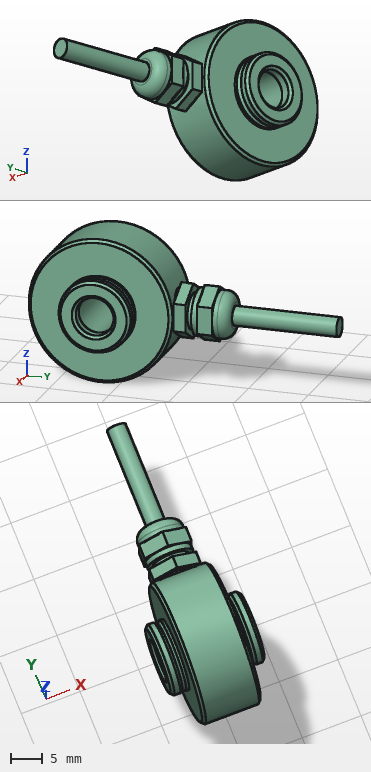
import cadquery as cq

housing_diameter = 24.0
housing_width = 10.0
hub_diameter = 12.0
hub_step = 1.0
bore_diameter = 6.3
edge_chamfer = 0.5

ring_width = 2.0

collar_diameter = 7.2
collar_depth = 1.0
collar_round = 0.5
hex_across_flats = 8.0
base_hex_length = 2.0
neck_diameter = 6.0
neck_length = 0.9
cap_diameter = 7.8
cap_length = 6.1
cap_round = 1.75
cap_hex_offset = 1.0
cap_hex_length = 2.5

cable_diameter = 3.2
cable_end = 38.39

hub_half_width = housing_width / 2 + hub_step
base_hex_start = housing_diameter / 2
collar_start = base_hex_start - collar_depth
neck_start = base_hex_start + base_hex_length
cap_start = neck_start + neck_length
cap_hex_start = cap_start + cap_hex_offset
cap_end = cap_start + cap_length


def disc_x(start, length, diameter):
    """Cylinder on the X axis, beginning at x = start."""
    return cq.Workplane("YZ", origin=(start, 0, 0)).circle(diameter / 2).extrude(length)


def gland_plane(start):
    """Plane across the gland axis at y = start, facing +Y."""
    plane = cq.Plane(origin=(0, start, 0), xDir=(1, 0, 0), normal=(0, 1, 0))
    return cq.Workplane(plane)


def disc_y(start, length, diameter):
    """Cylinder on the Y axis, beginning at y = start."""
    return gland_plane(start).circle(diameter / 2).extrude(length)


def hexagon_y(start, length):
    """Hexagonal prism on the Y axis with two corners on the Z direction."""
    return gland_plane(start).polygon(6, hex_across_flats, circumscribed=True).extrude(length)


def make_housing():
    """Chamfered rim with a hub on each face, a through bore and a pocket for the gland collar."""
    rim = disc_x(-housing_width / 2, housing_width, housing_diameter)
    rim = rim.edges("%CIRCLE").chamfer(edge_chamfer)
    hub = disc_x(-hub_half_width, 2 * hub_half_width, hub_diameter)
    hub = hub.edges("%CIRCLE").chamfer(edge_chamfer)
    collar_pocket = disc_y(collar_start, collar_depth, collar_diameter)
    bore = disc_x(-hub_half_width, 2 * hub_half_width, bore_diameter)
    return rim.union(hub).cut(bore).cut(collar_pocket)


def make_end_ring(side):
    """Ring against one hub end; its bore is chamfered at the outer face only."""
    ring = disc_x(hub_half_width, ring_width, hub_diameter)
    ring = ring.edges("%CIRCLE").chamfer(edge_chamfer)
    ring = ring.cut(disc_x(hub_half_width, ring_width, bore_diameter))
    ring = ring.faces(">X").edges(cq.selectors.RadiusNthSelector(0)).chamfer(edge_chamfer)
    return ring if side > 0 else ring.mirror("YZ")


def make_gland():
    """Collar, base hexagon, neck and rounded cap with its own hexagon."""
    collar = disc_y(collar_start, collar_depth, collar_diameter)
    collar = collar.faces(">Y").edges().fillet(collar_round)
    base_hex = hexagon_y(base_hex_start, base_hex_length)
    neck = disc_y(neck_start, neck_length, neck_diameter)
    cap = disc_y(cap_start, cap_length, cap_diameter).faces(">Y").edges().fillet(cap_round)
    cap_hex = hexagon_y(cap_hex_start, cap_hex_length)
    return collar.union(base_hex).union(neck).union(cap).union(cap_hex)


def make_cable():
    """Straight cable leaving the rounded end of the gland."""
    return disc_y(cap_end, cable_end - cap_end, cable_diameter)


housing = make_housing()
end_rings = [make_end_ring(side) for side in (-1, 1)]
gland = make_gland()
cable = make_cable()

result = cq.Compound.makeCompound([
    housing.val().Solids()[0],
    *[ring.val().Solids()[0] for ring in end_rings],
    gland.val().Solids()[0],
    cable.val(),
])